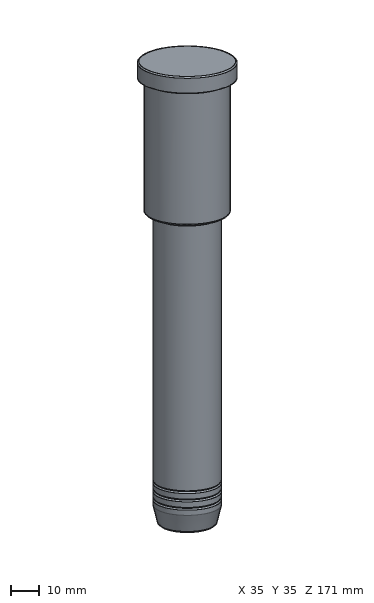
import cadquery as cq

total_length = 171.0
head_diameter = 35.0
head_height = 6.0
head_chamfer = 0.5

collar_diameter = 30.3
collar_end_depth = 56.0
collar_chamfer = 0.7

shaft_relief_diameter = 22.2
shaft_relief_width = 1.0

shaft_diameter = 24.1
taper_length = 7.2
tip_diameter = 20.5
tip_chamfer = 0.7

groove_count = 3
groove_pitch = 3.0
groove_depth = 0.5
last_groove_height = 9.5

head_bottom = total_length - head_height
collar_bottom = total_length - collar_end_depth
shaft_top = collar_bottom - shaft_relief_width


def cylinder(diameter, bottom, top):
    """Solid cylinder on the Z axis between two heights."""
    return cq.Workplane("XY").workplane(offset=bottom).circle(diameter / 2).extrude(top - bottom)


def v_groove(diameter, center_height):
    """Ring of diamond section that cuts a 90 degree V groove into a cylinder."""
    section = cq.Workplane("XZ").center(diameter / 2, center_height).polygon(4, 2 * groove_depth)
    return section.revolve(360, (-diameter / 2, 0), (-diameter / 2, 1))


def tapered_tip():
    """Cone frustum narrowing to the chamfered tip face."""
    tip = (
        cq.Workplane("XY")
        .circle(tip_diameter / 2)
        .workplane(offset=taper_length)
        .circle(shaft_diameter / 2)
        .loft(ruled=True)
    )
    return tip.faces("<Z").chamfer(tip_chamfer)


def grooved_shaft():
    shaft = cylinder(shaft_diameter, taper_length, shaft_top)
    for index in range(groove_count):
        groove_height = last_groove_height + index * groove_pitch
        shaft = shaft.cut(v_groove(shaft_diameter, groove_height))
    return shaft


head = cylinder(head_diameter, head_bottom, total_length).faces(">Z").chamfer(head_chamfer)

collar = cylinder(collar_diameter, collar_bottom, head_bottom).faces("<Z").chamfer(collar_chamfer)
collar = collar.cut(v_groove(collar_diameter, head_bottom - groove_depth))

shaft_relief = cylinder(shaft_relief_diameter, shaft_top, collar_bottom)

result = head.union(collar).union(shaft_relief).union(grooved_shaft()).union(tapered_tip())